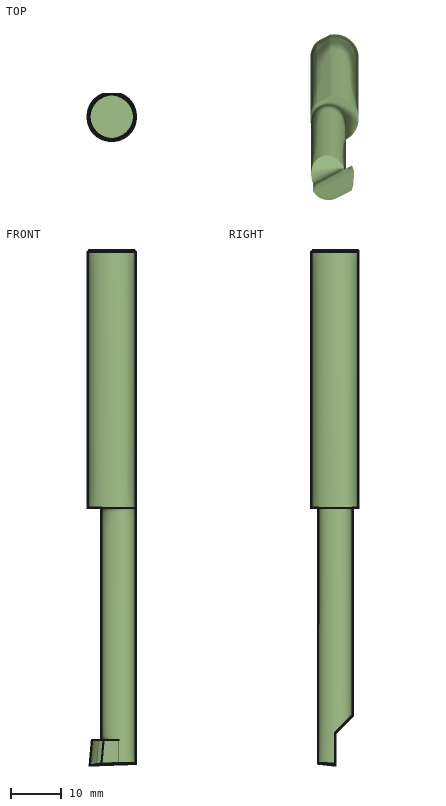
import cadquery as cq
import math

total_length = 101.6

shank_radius = 9.525 / 2
shank_length = total_length / 2
shank_bottom = total_length - shank_length
flat_depth = 0.254
shank_chamfer = 0.381

neck_radius = 3.43
neck_x = shank_radius - neck_radius

relief_start = 6.4
relief_angle = 45

head_top = 5.08
cutting_edge_x = -4.36
heel_x = -3.0
heel_y = -2.4
head_back_x = -2.05
side_lean = 5
end_clearance_x = 2
end_clearance_y = 5


def rise(run, angle):
    """Height gained over a run at an angle given in degrees."""
    return run * math.tan(math.radians(angle))


def make_shank():
    shank = cq.Workplane("XY").workplane(offset=shank_bottom).circle(shank_radius).extrude(shank_length)
    shank = shank.faces(">Z").chamfer(shank_chamfer)
    flat_cutter = cq.Workplane("XY").box(
        2 * shank_radius, shank_radius, total_length, centered=(True, False, False)
    )
    return shank.cut(flat_cutter.translate((0, shank_radius - flat_depth, 0)))


def make_neck():
    neck = cq.Workplane("XY").center(neck_x, 0).circle(neck_radius).extrude(shank_bottom)
    relief_depth = 2 * neck_radius
    relief = (
        cq.Workplane("YZ")
        .polyline([
            (0, 0),
            (0, relief_start),
            (relief_depth, relief_start + rise(relief_depth, relief_angle)),
            (relief_depth, 0),
        ])
        .close()
        .extrude(2 * shank_radius, both=True)
    )
    return neck.cut(relief)


def make_head():
    """Head running from the neck axis out to the cutting edge, its flank leaning with height."""
    lean = rise(head_top, side_lean)
    flank = [(cutting_edge_x, 0), (heel_x, heel_y), (head_back_x, -neck_radius)]
    inner = [(neck_x, -neck_radius), (neck_x, 0)]
    leaned_flank = [(x + lean, y) for x, y in flank]
    return (
        cq.Workplane("XY")
        .polyline(flank + inner)
        .close()
        .workplane(offset=head_top)
        .polyline(leaned_flank + inner)
        .close()
        .loft(ruled=True)
    )


def make_end_clearance():
    """Everything below the end face, which rises from the tip toward +X and -Y."""
    block_depth = 2 * shank_radius
    block_width = 4 * block_depth
    block = cq.Workplane("XY").rect(block_width, block_width).extrude(-block_depth)
    block = block.rotate((0, 0, 0), (1, 0, 0), -end_clearance_y)
    block = block.rotate((0, 0, 0), (0, 1, 0), -end_clearance_x)
    return block.translate((cutting_edge_x, 0, 0))


tool_bar = make_shank().union(make_neck()).union(make_head())
result = tool_bar.cut(make_end_clearance())